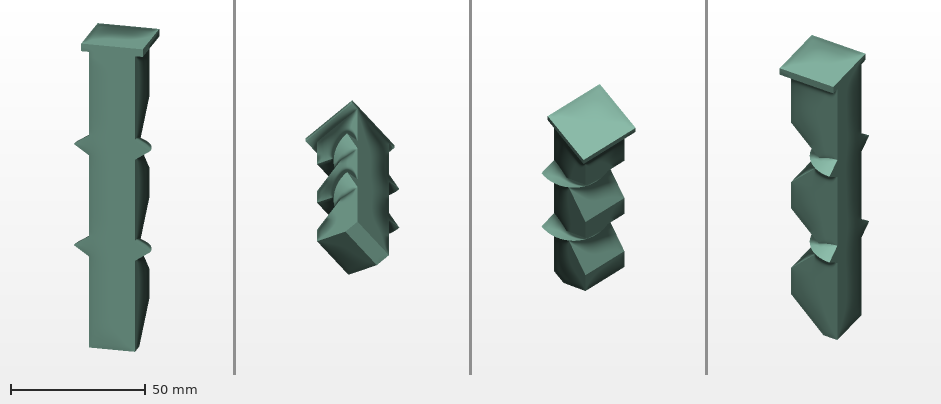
import cadquery as cq

height = 120.0
segment_count = 3
body_width = 17.8
body_depth = 20.0
cap_thickness = 3.0
cap_side_overhang = 3.0
cap_back_overhang = 3.0
web_depth = 6.0
barb_radius = 14.8
barb_half_height = 4.0

pitch = height / segment_count
notch_depth = body_depth - web_depth
cap_width = body_width + 2 * cap_side_overhang
cap_depth = body_depth + cap_back_overhang
barb_slope = barb_half_height / (barb_radius - body_width / 2)
barb_apex_height = barb_radius * barb_slope


def front_block(width, depth, bottom, block_height):
    """Block centred on X, extending back from the front face."""
    return (
        cq.Workplane("XY", origin=(0, 0, bottom))
        .box(width, depth, block_height, centered=(True, False, False))
    )


def notch(level):
    """45 degree V cut across the back, with its root at the given level."""
    return (
        cq.Workplane("YZ")
        .moveTo(web_depth, level)
        .lineTo(body_depth, level + notch_depth)
        .lineTo(body_depth, level - notch_depth)
        .close()
        .extrude(body_width, both=True)
    )


def barb(level):
    """Sharp-rimmed half double cone behind the front face."""
    return (
        cq.Workplane("XZ")
        .moveTo(0, level - barb_apex_height)
        .lineTo(barb_radius, level)
        .lineTo(0, level + barb_apex_height)
        .close()
        .revolve(180, (0, 0, 0), (0, 1, 0))
    )


body = front_block(body_width, body_depth, 0, height)

for index in range(segment_count):
    body = body.cut(notch(index * pitch))

for index in range(1, segment_count):
    body = body.union(barb(index * pitch))

cap = front_block(cap_width, cap_depth, height - cap_thickness, cap_thickness)
result = body.union(cap)